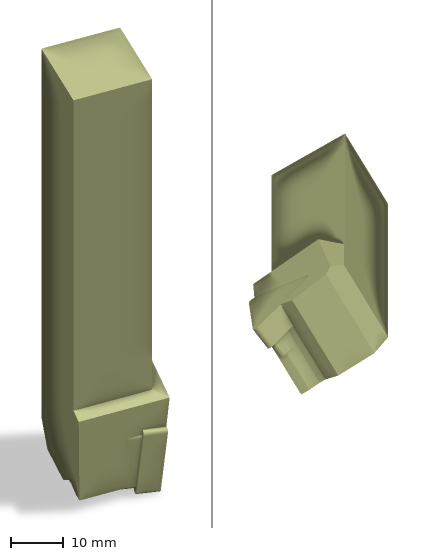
import cadquery as cq
import math

SHANK_WIDTH = 16.1
SHANK_DEPTH = 16.1
TOTAL_HEIGHT = 100.5

HEAD_RIGHT_TOP = 18.7
HEAD_RIGHT_BOTTOM = 19.1
SHOULDER_Z = 22.6
SHOULDER_ANGLE = 15.0
HEAD_BOTTOM_RIGHT_Z = 2.5
NOTCH_Z = 3.4
NOTCH_LEFT = 13.8
NOTCH_RIGHT = 15.0
FLAT_LEFT = 17.3
HEEL_X = 11.0
HEEL_Z = 1.1
CHAMFER_RUN = 3.0
CHAMFER_LOW_Z = 2.4
CHAMFER_TOP_Z = 8.1
HEAD_CORNER_Y = 16.5
BLANK_DEPTH = 22.1
BACK_FACE_Y = 20.0
BACK_FACE_Z = 21.5

INSCRIBED_DIAMETER = 9.5
INSERT_THICKNESS = 4.8
CORNER_RADIUS = 0.8
EDGE_X = 20.2
EDGE_Y = 16.9
EDGE_Z = 7.6
RAKE_X = 5.5
RAKE_Z = 6.0

SEAT_INSET = 0.6
SEAT_THICKNESS = 3.2


def shoulder_drop(run):
    """Height lost by the sloping shoulder over a horizontal run."""
    return run * math.tan(math.radians(SHOULDER_ANGLE))


def tilted_plane(origin):
    """Plane that leans with the insert: its normal points back, its local y keeps X constant."""
    lean_x = math.tan(math.radians(RAKE_X))
    lean_z = math.tan(math.radians(RAKE_Z))
    x_direction = (1 + lean_z**2, -lean_x, lean_x * lean_z)
    return cq.Plane(origin=origin, xDir=x_direction, normal=(lean_x, 1, -lean_z))


INSERT_PLANE = tilted_plane((EDGE_X, EDGE_Y, EDGE_Z))


def triangle_plate(inset, start, length):
    """Rounded equilateral prism, with the cutting edge upright at the plane origin before the inset."""
    inscribed_radius = INSCRIBED_DIAMETER / 2
    circumscribed_diameter = 4 * (inscribed_radius - inset)
    return (
        cq.Workplane(INSERT_PLANE)
        .workplane(offset=start)
        .center(-inscribed_radius, 0)
        .transformed(rotate=(0, 0, 180))
        .polygon(3, circumscribed_diameter)
        .extrude(length)
        .edges(cq.selectors.ParallelDirSelector(INSERT_PLANE.zDir))
        .fillet(CORNER_RADIUS)
    )


def make_blank():
    """Shank and head: the common volume of the outlines along the three axes."""
    front_outline = [
        (0, TOTAL_HEIGHT),
        (SHANK_WIDTH, TOTAL_HEIGHT),
        (SHANK_WIDTH, SHOULDER_Z),
        (HEAD_RIGHT_TOP, SHOULDER_Z - shoulder_drop(HEAD_RIGHT_TOP - SHANK_WIDTH)),
        (HEAD_RIGHT_BOTTOM, HEAD_BOTTOM_RIGHT_Z),
        (FLAT_LEFT, HEAD_BOTTOM_RIGHT_Z),
        (NOTCH_RIGHT, NOTCH_Z),
        (NOTCH_LEFT, NOTCH_Z),
        (HEEL_X, HEEL_Z),
        (CHAMFER_RUN, CHAMFER_LOW_Z),
        (0, CHAMFER_TOP_Z),
    ]
    side_outline = [
        (0, 0),
        (0, TOTAL_HEIGHT),
        (SHANK_DEPTH, TOTAL_HEIGHT),
        (SHANK_DEPTH, SHOULDER_Z),
        (BLANK_DEPTH, SHOULDER_Z - shoulder_drop(BLANK_DEPTH - SHANK_DEPTH)),
        (BLANK_DEPTH, 0),
    ]
    plan_outline = [
        (0, 0),
        (0, HEAD_CORNER_Y),
        (BLANK_DEPTH - HEAD_CORNER_Y, BLANK_DEPTH),
        (HEAD_RIGHT_BOTTOM, BLANK_DEPTH),
        (HEAD_RIGHT_BOTTOM, 0),
    ]
    front = cq.Workplane("XZ").polyline(front_outline).close().extrude(-BLANK_DEPTH)
    side = cq.Workplane("YZ").polyline(side_outline).close().extrude(HEAD_RIGHT_BOTTOM)
    plan = cq.Workplane("XY").polyline(plan_outline).close().extrude(TOTAL_HEIGHT)
    return front.intersect(side).intersect(plan)


def back_face_cutter():
    """Block behind the tilted back face of the head."""
    corner = (BACK_FACE_Y - HEAD_CORNER_Y, BACK_FACE_Y, BACK_FACE_Z)
    reach = 2 * BLANK_DEPTH
    return cq.Workplane(tilted_plane(corner)).rect(2 * reach, 2 * reach).extrude(reach)


def make_holder():
    blank = make_blank().cut(back_face_cutter())
    seat = triangle_plate(SEAT_INSET, -INSERT_THICKNESS - SEAT_THICKNESS, SEAT_THICKNESS)
    pocket = triangle_plate(0, -INSERT_THICKNESS, INSERT_THICKNESS + BLANK_DEPTH - SHANK_DEPTH)
    return blank.union(seat).cut(pocket)


def make_insert():
    return triangle_plate(0, -INSERT_THICKNESS, INSERT_THICKNESS)


holder = make_holder()
insert = make_insert()

result = cq.Compound.makeCompound([*holder.solids().vals(), *insert.solids().vals()])